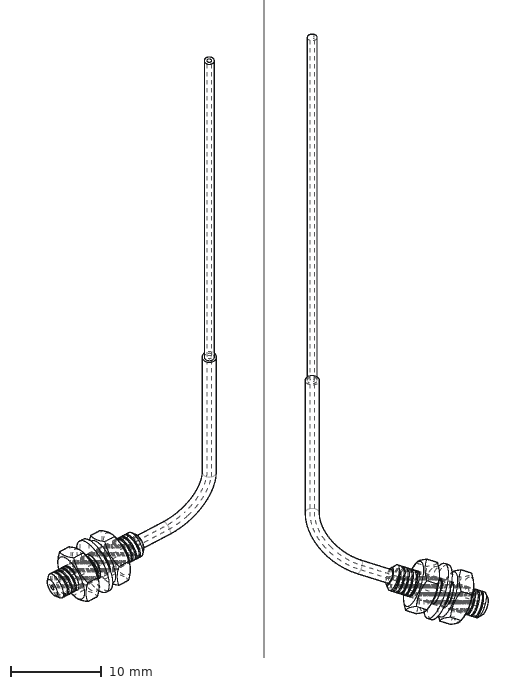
import cadquery as cq
import math

overall_height = 78.5
overall_depth = 21.7

housing_diameter = 3.0
housing_length = 11.5
housing_chamfer = 0.5
thread_pitch = 0.5
groove_depth = 0.15
groove_width = 0.15
groove_overshoot = 0.1

nut_across_flats = 5.5
nut_thickness = 2.0
nut_face_diameter = 5.2
nut_chamfer_angle = 30
hexagon_half_angle = 30
nut_starts = [2.5, 6.7]

washer_diameter = 6.35
washer_thickness = 0.5
washer_start = 5.4

sleeve_diameter = 1.6
bend_radius = 5.7
jacket_length = 50.15
jacket_diameter = 1.1
core_diameter = 0.5

nut_across_corners = nut_across_flats / math.cos(math.radians(hexagon_half_angle))
lowest_z = -washer_diameter / 2
top_z = lowest_z + overall_height
sleeve_top_z = top_z - jacket_length
upright_y = overall_depth - sleeve_diameter / 2


def rod_along_y(diameter, start, length):
    return cq.Workplane("XZ", origin=(0, start, 0)).circle(diameter / 2).extrude(-length)


def bent_rod(diameter, start_y, end_z):
    """Round rod that follows the thread axis, bends upward and ends at the height end_z."""
    path = (
        cq.Workplane("YZ")
        .moveTo(start_y, 0)
        .lineTo(upright_y - bend_radius, 0)
        .radiusArc((upright_y, bend_radius), -bend_radius)
        .lineTo(upright_y, end_z)
    )
    return cq.Workplane("XZ", origin=(0, start_y, 0)).circle(diameter / 2).sweep(path)


def thread_groove():
    """Right-hand V groove that winds around the Y axis between the two end chamfers."""
    radius = housing_diameter / 2
    start = housing_chamfer + groove_width
    helix = cq.Wire.makeHelix(thread_pitch, housing_length - 2 * start, radius)
    widening = (groove_depth + groove_overshoot) / groove_depth
    half_width = groove_width / 2 * widening
    groove = (
        cq.Workplane("XZ")
        .polyline([
            (radius - groove_depth, 0),
            (radius + groove_overshoot, -half_width),
            (radius + groove_overshoot, half_width),
        ])
        .close()
        .sweep(cq.Workplane(obj=helix), isFrenet=True)
    )
    return groove.rotate((0, 0, 0), (1, 0, 0), -90).translate((0, start, 0))


def make_housing(core):
    """Threaded round housing with chamfered ends and a bore filled by the fiber core."""
    body = rod_along_y(housing_diameter, 0, housing_length).faces("<Y or >Y").chamfer(housing_chamfer)
    return body.cut(thread_groove()).cut(core)


def make_nut(start):
    """Hexagon nut with two corners on the Z direction and corners chamfered on both faces."""
    hexagon = (
        cq.Workplane("XZ", origin=(0, start, 0))
        .polygon(6, nut_across_corners)
        .extrude(-nut_thickness)
        .rotate((0, 0, 0), (0, 1, 0), hexagon_half_angle)
    )
    face_radius = nut_face_diameter / 2
    corner_radius = nut_across_corners / 2
    drop = (corner_radius - face_radius) * math.tan(math.radians(nut_chamfer_angle))
    end = start + nut_thickness
    rounding = (
        cq.Workplane("XY")
        .polyline([
            (0, start),
            (face_radius, start),
            (corner_radius, start + drop),
            (corner_radius, end - drop),
            (face_radius, end),
            (0, end),
        ])
        .close()
        .revolve(360, (0, 0, 0), (0, 1, 0))
    )
    bore = rod_along_y(housing_diameter, start, nut_thickness)
    return hexagon.intersect(rounding).cut(bore)


def make_washer():
    disc = rod_along_y(washer_diameter, washer_start, washer_thickness)
    return disc.cut(rod_along_y(housing_diameter, washer_start, washer_thickness))


def make_sleeve(core):
    return bent_rod(sleeve_diameter, housing_length, sleeve_top_z).cut(core)


def make_jacket(core):
    base = cq.Workplane("XY", origin=(0, upright_y, sleeve_top_z))
    return base.circle(jacket_diameter / 2).extrude(jacket_length).cut(core)


fiber_core = bent_rod(core_diameter, 0, top_z)
housing = make_housing(fiber_core)
nuts = [make_nut(start) for start in nut_starts]
washer = make_washer()
sleeve = make_sleeve(fiber_core)
jacket = make_jacket(fiber_core)

result = cq.Compound.makeCompound([
    housing.val(),
    *[nut.val() for nut in nuts],
    washer.val(),
    sleeve.val(),
    jacket.val(),
    fiber_core.val(),
])